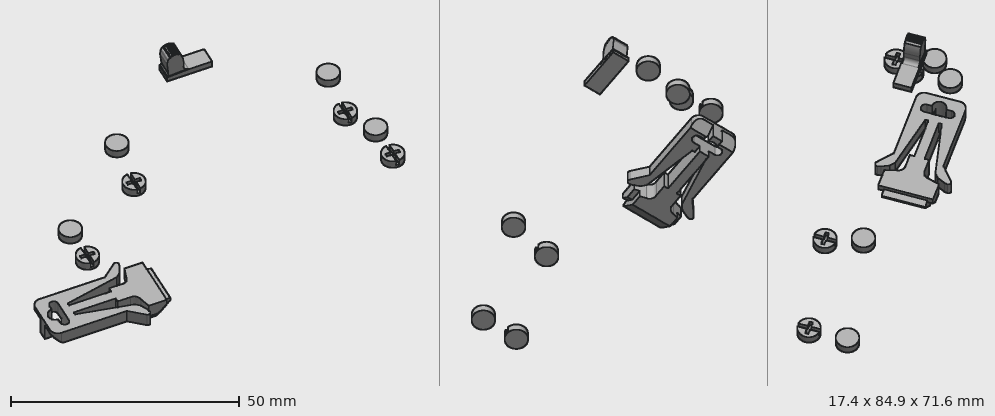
import cadquery as cq

PLATE_TOP = 5.35
PLATE_BOTTOM = 2.0
PLATE_HALF_WIDTH = 5.7
CORNER_RADIUS = 1.9
FRONT_CHAMFER = 2.2
STEM_HALF_WIDTH = 1.2
COLLAR_HALF_WIDTH = 2.2
COLLAR_Y = 17.1
THROAT_Y = 20.1
FLARE_MID = (2.6, 21.4)
SHOULDER = (3.65, 21.9)
HEAD_HALF_WIDTH = 6.3
HEAD_FRONT_Y = 22.7
HEAD_BACK_Y = 27.0
HEAD_CHAMFER = 1.8

SLIT_FRONT_Y = 7.0
SLIT_FRONT_X = 1.9
ARM_ROOT_Y = 17.7
ARM_SPAN = 17.4
ARM_TIP = (8.6, 21.1)
ARM_TIP_MID = (ARM_SPAN / 2, 21.6)
ARM_TIP_BACK = (8.1, 22.2)
ARM_HOOK = (7.3, 22.0)
HOOK_BEND_OUTER = (5.5, 21.1)
HOOK_BEND_INNER = (4.6, 20.0)

CORE_HALF_WIDTH = 5.0
CORE_FRONT_Y = 5.0
CORE_BACK_Y = 25.05
LIP_BACK_Y = 28.5
LIP_TOP = 4.4
LIP_EDGE_TOP = 4.0

TAB_DEPTH = 1.9

SLOT_LENGTH = 7.6
SLOT_WIDTH = 2.0
SLOT_Y = 4.0
SLOT_NOTCH_RADIUS = 1.6

OVERALL_LENGTH = 84.9
DISC_RADIUS = 5.2 / 2
DISC_HEIGHT = 2.0
DISC_X = 4.4
OUTER_Y = (8.75, OVERALL_LENGTH - DISC_RADIUS)
INNER_Y = (19.95, 70.9)
OUTER_Z = 23.5
INNER_PLAIN_Z = 45.6
INNER_SLOTTED_Z = 41.7
CROSS_WIDTH = 0.8
CROSS_DEPTH = 1.3
CROSS_SHORT_LENGTH = 3.2

SLIDER_X = -4.0
SLIDER_TOP = 71.6
FOOT_WIDTH = 4.2
FOOT_FRONT_Y = 30.9
FOOT_BACK_Y = 41.8
FOOT_BOTTOM = 64.3
FOOT_FRONT_HEIGHT = 1.3
FOOT_HEIGHT = 1.6
POST_WIDTH = 3.7
POST_BACK_Y = 35.0
POST_FILLET = 1.1
GROOVE_FIRST_Y = 31.75
GROOVE_PITCH = 0.64
GROOVE_COUNT = 4
GROOVE_WIDTH = 0.2
GROOVE_DEPTH = 0.1
POST_TOE = (31.1, FOOT_BOTTOM + FOOT_FRONT_HEIGHT)
POST_WAIST = (31.3, 66.3)
POST_BROW = (31.0, 69.4)
POST_BROW_TOP = (31.2, 70.4)
TOP_FRONT = (31.25, 70.6)
TOP_CREST = (32.85, SLIDER_TOP)
TOP_BACK = (34.3, 71.1)
BACK_CURVE_MID = (34.7, 70.0)
BACK_CURVE_END = (POST_BACK_Y, 68.35)


def mirrored(solid):
    """The solid together with its mirror image about X = 0."""
    return solid.union(solid.mirror("YZ"))


def side_profile(points, half_width):
    """Prism with a (Y, Z) outline, reaching half_width to either side of X = 0."""
    return cq.Workplane("YZ").polyline(points).close().extrude(half_width, both=True)


def stem_and_head(bottom, front_y):
    """Right half of the stem, collar and head, up to the top of the plate."""
    return (
        cq.Workplane("XY", origin=(0, 0, bottom))
        .moveTo(0, front_y)
        .lineTo(STEM_HALF_WIDTH, front_y)
        .lineTo(STEM_HALF_WIDTH, COLLAR_Y)
        .lineTo(COLLAR_HALF_WIDTH, COLLAR_Y)
        .lineTo(COLLAR_HALF_WIDTH, THROAT_Y)
        .threePointArc(FLARE_MID, SHOULDER)
        .lineTo(HEAD_HALF_WIDTH, HEAD_FRONT_Y)
        .lineTo(HEAD_HALF_WIDTH, HEAD_BACK_Y)
        .lineTo(0, HEAD_BACK_Y)
        .close()
        .extrude(PLATE_TOP - bottom)
    )


def arm_and_front():
    """Right half of the front bar with its hooked spring arm."""
    return (
        cq.Workplane("XY", origin=(0, 0, PLATE_BOTTOM))
        .moveTo(0, 0)
        .lineTo(PLATE_HALF_WIDTH - CORNER_RADIUS, 0)
        .radiusArc((PLATE_HALF_WIDTH, CORNER_RADIUS), -CORNER_RADIUS)
        .lineTo(PLATE_HALF_WIDTH, ARM_ROOT_Y)
        .lineTo(*ARM_TIP)
        .threePointArc(ARM_TIP_MID, ARM_TIP_BACK)
        .lineTo(*ARM_HOOK)
        .lineTo(*HOOK_BEND_OUTER)
        .lineTo(*HOOK_BEND_INNER)
        .lineTo(SLIT_FRONT_X, SLIT_FRONT_Y)
        .lineTo(0, SLIT_FRONT_Y)
        .close()
        .extrude(PLATE_TOP - PLATE_BOTTOM)
    )


def keyhole_slot():
    slot = cq.Workplane("XY").center(0, SLOT_Y).slot2D(SLOT_LENGTH, SLOT_WIDTH).extrude(PLATE_TOP)
    notch = (
        cq.Workplane("XY")
        .center(0, SLOT_Y - SLOT_WIDTH / 2)
        .circle(SLOT_NOTCH_RADIUS)
        .extrude(PLATE_TOP)
    )
    return slot.union(notch)


def make_clip_plate():
    front_cut = side_profile(
        [(0, 0), (0, PLATE_BOTTOM + FRONT_CHAMFER), (PLATE_BOTTOM + FRONT_CHAMFER, 0)],
        PLATE_HALF_WIDTH,
    )
    head_cut = side_profile(
        [
            (HEAD_BACK_Y - HEAD_CHAMFER, PLATE_BOTTOM),
            (HEAD_BACK_Y, PLATE_BOTTOM + HEAD_CHAMFER),
            (HEAD_BACK_Y, PLATE_BOTTOM),
        ],
        HEAD_HALF_WIDTH,
    )
    head = stem_and_head(PLATE_BOTTOM, SLIT_FRONT_Y)
    plate = mirrored(arm_and_front().union(head)).cut(front_cut).cut(head_cut)

    lip_rise = LIP_BACK_Y - CORE_BACK_Y
    core_limits = side_profile(
        [
            (CORE_FRONT_Y, 0),
            (CORE_BACK_Y, 0),
            (HEAD_BACK_Y, HEAD_BACK_Y - CORE_BACK_Y),
            (HEAD_BACK_Y, PLATE_BOTTOM + HEAD_CHAMFER),
            (CORE_FRONT_Y, PLATE_BOTTOM + HEAD_CHAMFER),
        ],
        CORE_HALF_WIDTH,
    )
    core = mirrored(stem_and_head(0, CORE_FRONT_Y)).intersect(core_limits)
    lip = side_profile(
        [
            (CORE_BACK_Y, 0),
            (LIP_BACK_Y, lip_rise),
            (LIP_BACK_Y, LIP_EDGE_TOP),
            (HEAD_BACK_Y, LIP_TOP),
            (CORE_BACK_Y, LIP_TOP),
        ],
        CORE_HALF_WIDTH,
    )
    tab = cq.Workplane("XY").box(
        2 * STEM_HALF_WIDTH, TAB_DEPTH, PLATE_TOP, centered=(True, False, False)
    )
    return plate.union(core).union(lip).union(tab).cut(keyhole_slot())


def make_plain_disc(y, z):
    return cq.Workplane("XY", origin=(-DISC_X, y, z)).circle(DISC_RADIUS).extrude(DISC_HEIGHT)


def make_slotted_disc(y, z):
    disc = cq.Workplane("XY", origin=(DISC_X, y, z)).circle(DISC_RADIUS).extrude(DISC_HEIGHT)
    top = cq.Workplane("XY", origin=(DISC_X, y, z + DISC_HEIGHT))
    long_slot = top.rect(2 * DISC_RADIUS, CROSS_WIDTH).extrude(-CROSS_DEPTH)
    short_slot = top.rect(CROSS_WIDTH, CROSS_SHORT_LENGTH).extrude(-CROSS_DEPTH)
    return disc.cut(long_slot).cut(short_slot)


def slider_foot():
    foot_top = FOOT_BOTTOM + FOOT_HEIGHT
    return side_profile(
        [
            (FOOT_FRONT_Y, FOOT_BOTTOM),
            (FOOT_BACK_Y, FOOT_BOTTOM),
            (FOOT_BACK_Y, foot_top),
            (POST_BACK_Y + POST_FILLET, foot_top),
            (FOOT_FRONT_Y, FOOT_BOTTOM + FOOT_FRONT_HEIGHT),
        ],
        FOOT_WIDTH / 2,
    )


def slider_post():
    foot_top = FOOT_BOTTOM + FOOT_HEIGHT
    return (
        cq.Workplane("YZ")
        .moveTo(*POST_TOE)
        .lineTo(*POST_WAIST)
        .lineTo(*POST_BROW)
        .lineTo(*POST_BROW_TOP)
        .lineTo(*TOP_FRONT)
        .threePointArc(TOP_CREST, TOP_BACK)
        .threePointArc(BACK_CURVE_MID, BACK_CURVE_END)
        .lineTo(POST_BACK_Y, foot_top + POST_FILLET)
        .radiusArc((POST_BACK_Y + POST_FILLET, foot_top), -POST_FILLET)
        .lineTo(POST_BACK_Y + POST_FILLET, FOOT_BOTTOM + FOOT_FRONT_HEIGHT)
        .close()
        .extrude(POST_WIDTH / 2, both=True)
    )


def top_height(y):
    """Height of the post's rounded top: a parabola through its two ends and the crest."""
    end = TOP_FRONT if y < TOP_CREST[0] else TOP_BACK
    drop = (y - TOP_CREST[0]) / (end[0] - TOP_CREST[0])
    return SLIDER_TOP - (SLIDER_TOP - end[1]) * drop**2


def grip_groove(y):
    """V-groove cutter, twice as deep and wide as the groove so that it clears the top."""
    floor = top_height(y) - GROOVE_DEPTH
    rim = floor + 2 * GROOVE_DEPTH
    front_y = y - GROOVE_WIDTH
    back_y = y + GROOVE_WIDTH
    return side_profile([(y, floor), (back_y, rim), (front_y, rim)], POST_WIDTH)


def make_slider():
    slider = slider_foot().union(slider_post())
    for index in range(GROOVE_COUNT):
        slider = slider.cut(grip_groove(GROOVE_FIRST_Y + index * GROOVE_PITCH))
    return slider.translate((SLIDER_X, 0, 0))


clip_plate = make_clip_plate()
slider = make_slider()
plain_discs = [make_plain_disc(y, OUTER_Z) for y in OUTER_Y]
plain_discs += [make_plain_disc(y, INNER_PLAIN_Z) for y in INNER_Y]
slotted_discs = [make_slotted_disc(y, OUTER_Z) for y in OUTER_Y]
slotted_discs += [make_slotted_disc(y, INNER_SLOTTED_Z) for y in INNER_Y]

bodies = [clip_plate, slider, *plain_discs, *slotted_discs]
result = cq.Compound.makeCompound([body.val() for body in bodies])